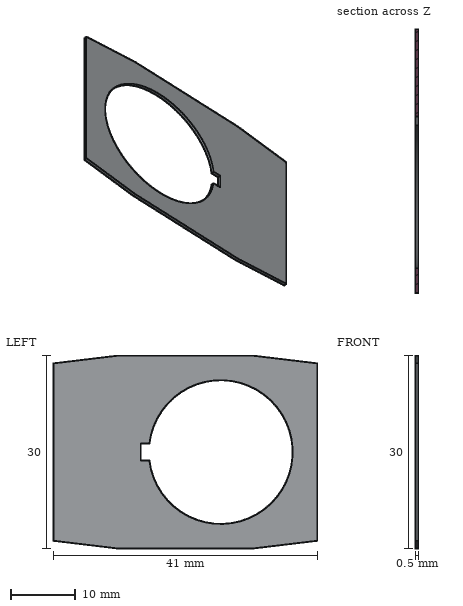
import cadquery as cq

thickness = 0.5
length = 41.0
height = 30.0
flat_length = 21.0
end_height = 27.6

hole_diameter = 22.3
hole_y = -5.5
notch_width = 2.6
notch_reach = 12.4


def make_plate():
    """Flat plate whose top and bottom edges taper towards both ends."""
    half_length = length / 2
    half_flat = flat_length / 2
    half_height = height / 2
    half_end = end_height / 2
    outline = [
        (-half_length, -half_end),
        (-half_flat, -half_height),
        (half_flat, -half_height),
        (half_length, -half_end),
        (half_length, half_end),
        (half_flat, half_height),
        (-half_flat, half_height),
        (-half_length, half_end),
    ]
    return cq.Workplane("YZ").polyline(outline).close().extrude(thickness / 2, both=True)


def make_opening():
    """Cutter for the round hole and its key notch, through the full thickness."""
    plane = cq.Workplane("YZ").center(hole_y, 0)
    hole = plane.circle(hole_diameter / 2).extrude(thickness, both=True)
    notch = (
        plane.center(notch_reach / 2, 0)
        .rect(notch_reach, notch_width)
        .extrude(thickness, both=True)
    )
    return hole.union(notch)


result = make_plate().cut(make_opening())